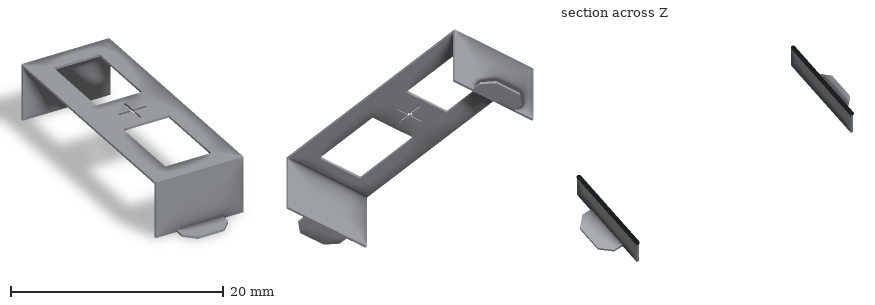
import cadquery as cq

overall_length = 29.46
bracket_width = 9.56
bracket_height = 6.09
sheet_thickness = 0.25

tab_reach = 2.1
tab_width = 5.04
tab_chamfer = 1.08

plate_length = overall_length - 2 * tab_reach
window_length = 8.0
window_width = 5.0
window_spacing = 13.0
cross_length = 3.0
cross_slot_width = 0.25

opening_length = plate_length - 2 * sheet_thickness
opening_height = bracket_height - sheet_thickness


def make_channel():
    """Top plate with a full-width leg folded down at each end."""
    outer = cq.Workplane("XY").rect(plate_length, bracket_width).extrude(bracket_height)
    opening = cq.Workplane("XY").rect(opening_length, bracket_width).extrude(opening_height)
    return outer.cut(opening)


def make_tabs():
    """Outward tabs with chamfered corners; the span between the legs is left open."""
    strip = (
        cq.Workplane("XY")
        .rect(overall_length, tab_width)
        .extrude(sheet_thickness)
        .edges("|Z")
        .chamfer(tab_chamfer)
    )
    gap = cq.Workplane("XY").rect(opening_length, tab_width).extrude(sheet_thickness)
    return strip.cut(gap)


def make_plate_cutouts():
    """Two rectangular windows and a central cross, all through the top plate."""
    plate_underside = cq.Workplane("XY").workplane(offset=opening_height)
    windows = (
        plate_underside.pushPoints([(side * window_spacing / 2, 0) for side in (-1, 1)])
        .rect(window_length, window_width)
        .extrude(sheet_thickness)
    )
    slot_along_x = plate_underside.rect(cross_length, cross_slot_width).extrude(sheet_thickness)
    slot_along_y = plate_underside.rect(cross_slot_width, cross_length).extrude(sheet_thickness)
    return windows.union(slot_along_x).union(slot_along_y)


result = make_channel().union(make_tabs()).cut(make_plate_cutouts())